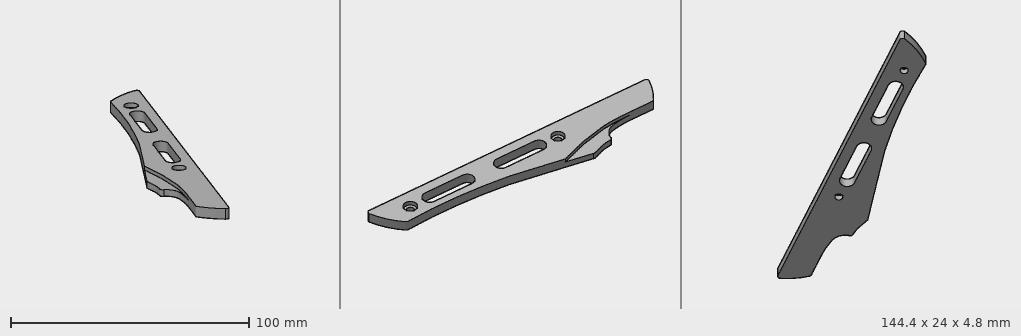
import cadquery as cq

LENGTH = 144.4
DEPTH = 24.0
THICKNESS = 4.8
TAB_THICKNESS = 3.0

CORNER_RADIUS = 1.2
END_TOP_Y = -1.7
LEFT_END_MIDDLE = (4.3, -9.1)
LEFT_HEEL = (10.0, -15.2)
RIGHT_END_MIDDLE = (142.2, -7.1)
RIGHT_HEEL = (138.5, -13.0)
HEEL_RADIUS = 1.2
BELLY_MIDDLE = (40.5, -14.7)
BELLY_END = (61.7, -16.6)

STEP_START = (87.0, -21.4)
STEP_BEND = (99.3, -16.9)
STEP_SHOULDER = (111.9, -13.9)
STEP_CURVE_MIDDLE = (119.0, -13.1)
STEP_END = (126.0, RIGHT_HEEL[1])

TAB_TIP_START = (99.9, -23.8)
TAB_TIP = (100.4, -DEPTH)
TAB_TIP_END = (100.8, -23.8)
TAB_BEND = (106.5, -21.7)
TAB_NOSE_START = (110.2, -21.1)
TAB_NOSE_MIDDLE = (111.3, -20.6)
TAB_NOSE_END = (111.6, -19.5)
TAB_HOOK_MIDDLE = (113.0, -16.3)
TAB_HOOK_END = (116.4, -14.2)
TAB_ROOT_MIDDLE = (121.3, -13.3)

OPENING_Y = -8.0
SLOT_LENGTH = 25.8
SLOT_WIDTH = 6.5
SLOT_CENTERS_X = (36.4, 73.4)
HOLE_CENTERS_X = (16.7, 92.8)
HOLE_DIAMETER = 3.3
COUNTERBORE_DIAMETER = 6.0
COUNTERBORE_DEPTH = 2.0


def make_blade():
    """Full-thickness blade with bowed ends and a hollow belly."""
    blade = (
        cq.Workplane("XY")
        .moveTo(CORNER_RADIUS, 0)
        .lineTo(LENGTH - CORNER_RADIUS, 0)
        .radiusArc((LENGTH, -CORNER_RADIUS), CORNER_RADIUS)
        .lineTo(LENGTH, END_TOP_Y)
        .threePointArc(RIGHT_END_MIDDLE, RIGHT_HEEL)
        .lineTo(*STEP_END)
        .threePointArc(STEP_CURVE_MIDDLE, STEP_SHOULDER)
        .lineTo(*STEP_BEND)
        .lineTo(*STEP_START)
        .lineTo(*BELLY_END)
        .threePointArc(BELLY_MIDDLE, LEFT_HEEL)
        .threePointArc(LEFT_END_MIDDLE, (0, END_TOP_Y))
        .lineTo(0, -CORNER_RADIUS)
        .radiusArc((CORNER_RADIUS, 0), CORNER_RADIUS)
        .close()
        .extrude(THICKNESS)
    )
    for heel in (LEFT_HEEL, RIGHT_HEEL):
        heel_edge = cq.selectors.NearestToPointSelector((*heel, THICKNESS / 2))
        blade = blade.edges(heel_edge).fillet(HEEL_RADIUS)
    return blade


def make_tab():
    """Thin hooked tab that runs under the step and joins the blade."""
    return (
        cq.Workplane("XY")
        .moveTo(*STEP_START)
        .lineTo(*TAB_TIP_START)
        .threePointArc(TAB_TIP, TAB_TIP_END)
        .lineTo(*TAB_BEND)
        .lineTo(*TAB_NOSE_START)
        .threePointArc(TAB_NOSE_MIDDLE, TAB_NOSE_END)
        .threePointArc(TAB_HOOK_MIDDLE, TAB_HOOK_END)
        .threePointArc(TAB_ROOT_MIDDLE, STEP_END)
        .lineTo(STEP_END[0], OPENING_Y)
        .lineTo(STEP_BEND[0], OPENING_Y)
        .close()
        .extrude(TAB_THICKNESS)
    )


def cut_slots(body):
    centers = [(x, OPENING_Y) for x in SLOT_CENTERS_X]
    slots = cq.Workplane("XY").pushPoints(centers).slot2D(SLOT_LENGTH, SLOT_WIDTH)
    return body.cut(slots.extrude(THICKNESS))


def cut_holes(body):
    centers = [(x, OPENING_Y) for x in HOLE_CENTERS_X]
    top = cq.Workplane("XY").workplane(offset=THICKNESS).pushPoints(centers)
    bores = top.circle(HOLE_DIAMETER / 2).extrude(-THICKNESS)
    counterbores = top.circle(COUNTERBORE_DIAMETER / 2).extrude(-COUNTERBORE_DEPTH)
    return body.cut(bores).cut(counterbores)


result = cut_holes(cut_slots(make_blade().union(make_tab())))